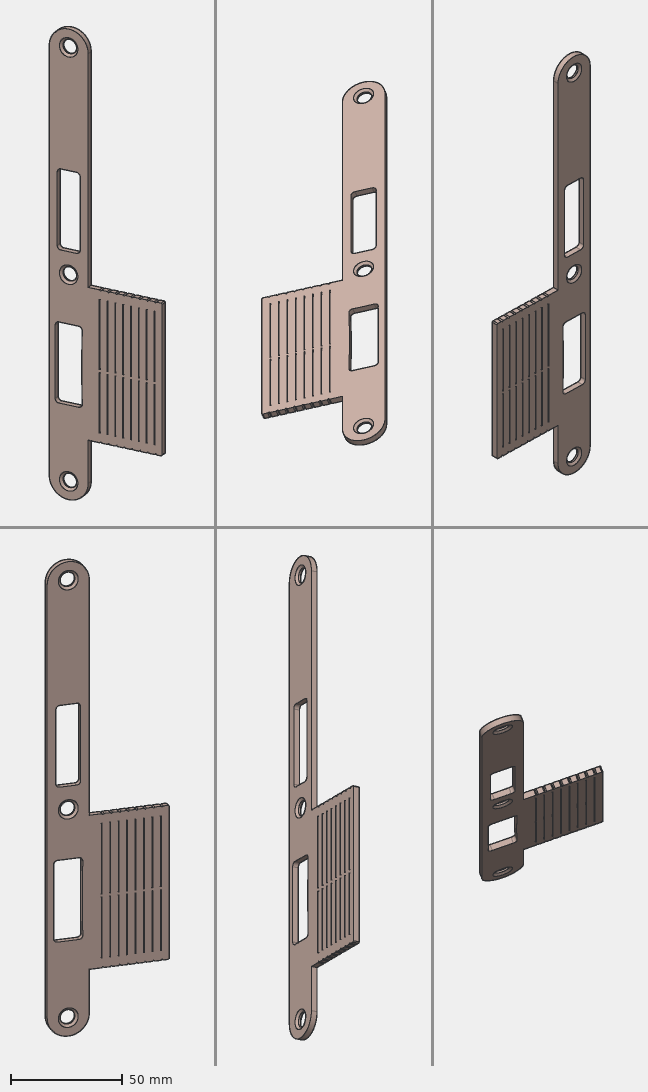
import cadquery as cq

length = 230.0
width = 20.0
thickness = 3.0
end_radius = width / 2

overall_width = 58.0
flange_bottom = 31.0
flange_height = 74.8
flange_top = flange_bottom + flange_height
flange_end = overall_width - width / 2

hole_diameter = 7.0
countersink_diameter = 9.5
countersink_depth = 1.04
hole_inset = 9.0
middle_hole_height = 110.0
hole_heights = (hole_inset, middle_hole_height, length - hole_inset)

window_height = 39.5
window_corner_radius = 1.8
upper_window_width = 11.7
upper_window_center = 141.0
lower_window_width = 13.8
lower_window_center = 66.0

bow_height = window_height - 2 * window_corner_radius
bow_depth = 0.25

line_count = 8
line_span = 28.0
line_pitch = line_span / (line_count - 1)
slot_width = 0.4
slot_end_margin = 4.8
bridge_height = 1.5
notch_width = 1.2
notch_depth = 0.5
notch_offset = 0.58


def through_block(x_center, z_bottom, x_size, z_size):
    """Box through the full thickness, centred on x_center and standing on z_bottom."""
    block = cq.Workplane("XY").box(x_size, thickness, z_size, centered=(True, False, False))
    return block.translate((x_center, 0, z_bottom))


def make_plate():
    """Round-ended strip joined to the flange."""
    strip = through_block(0, end_radius, width, length - 2 * end_radius)
    for z in (end_radius, length - end_radius):
        end = cq.Workplane("XZ", origin=(0, 0, z)).circle(end_radius).extrude(-thickness)
        strip = strip.union(end)
    flange = through_block(flange_end / 2, flange_bottom, flange_end, flange_height)
    return strip.union(flange)


def make_window(window_width, z_center):
    """Cutter for a rectangular window with rounded corners."""
    window = through_block(0, z_center - window_height / 2, window_width, window_height)
    return window.edges("|Y").fillet(window_corner_radius)


def make_bow():
    """Thin circular segment left standing on the lower window's flange-side wall."""
    wall_x = lower_window_width / 2
    return (
        cq.Workplane("XZ")
        .moveTo(wall_x, lower_window_center - bow_height / 2)
        .threePointArc(
            (wall_x - bow_depth, lower_window_center),
            (wall_x, lower_window_center + bow_height / 2),
        )
        .close()
        .extrude(-thickness)
    )


def make_screw_hole(z_center):
    """Revolved cutter for a hole countersunk alike on both faces."""
    hole_radius = hole_diameter / 2
    countersink_radius = countersink_diameter / 2
    profile = [
        (0, 0),
        (countersink_radius, 0),
        (hole_radius, countersink_depth),
        (hole_radius, thickness - countersink_depth),
        (countersink_radius, thickness),
        (0, thickness),
    ]
    cutter = cq.Workplane("XY").polyline(profile).close().revolve(360, (0, 0), (0, 1))
    return cutter.translate((0, 0, z_center))


def make_notch(x, z_edge, rise):
    """Cutter for a V notch opening at z_edge, with its tip the given rise away."""
    half_width = notch_width / 2
    outline = [(x - half_width, z_edge), (x + half_width, z_edge), (x, z_edge + rise)]
    return cq.Workplane("XZ").polyline(outline).close().extrude(-thickness)


def make_break_line(x):
    """Cutter for one break-off line: two slots in a row and the two edge notches."""
    slot_bottom = flange_bottom + slot_end_margin
    slot_top = flange_top - slot_end_margin
    bridge_bottom = lower_window_center - bridge_height / 2
    bridge_top = lower_window_center + bridge_height / 2
    lower_slot = through_block(x, slot_bottom, slot_width, bridge_bottom - slot_bottom)
    upper_slot = through_block(x, bridge_top, slot_width, slot_top - bridge_top)
    lower_notch = make_notch(x + notch_offset, flange_bottom, notch_depth)
    upper_notch = make_notch(x + notch_offset, flange_top, -notch_depth)
    return lower_slot.add(upper_slot).add(lower_notch).add(upper_notch).combine()


result = make_plate()

result = result.cut(make_window(upper_window_width, upper_window_center))
result = result.cut(make_window(lower_window_width, lower_window_center).cut(make_bow()))

for z in hole_heights:
    result = result.cut(make_screw_hole(z))

for index in range(line_count):
    line_x = flange_end - (index + 1) * line_pitch
    result = result.cut(make_break_line(line_x))

for z_edge, rise in ((flange_bottom, notch_depth), (flange_top, -notch_depth)):
    result = result.cut(make_notch(flange_end, z_edge, rise))